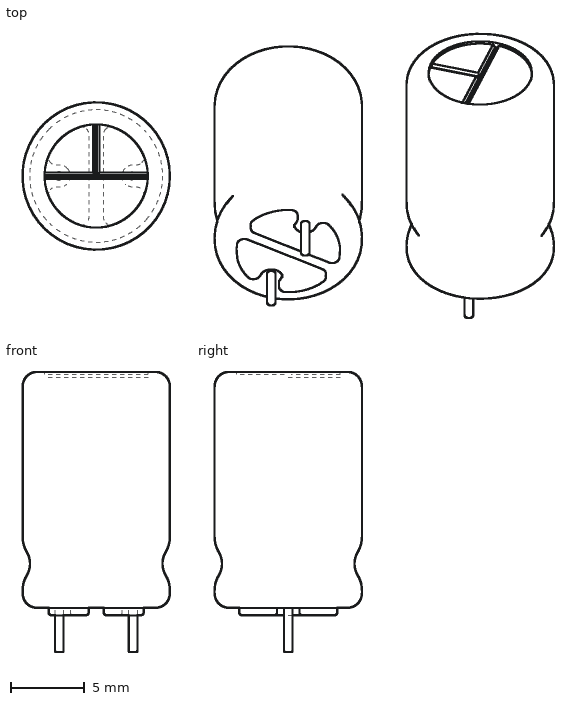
import cadquery as cq
import math


can_radius = 5.0
can_height = 16.0
can_edge_radius = 1.0

crimp_mid_z = 3.0
crimp_half_height = 1.8
crimp_waist_half_height = 0.8
crimp_depth = 0.5

recess_radius = 3.5
recess_depth = 0.2
score_top_width = 0.44
score_floor_width = 0.14
score_depth = 0.2

lead_spacing = 5.0
lead_radius = 0.3
lead_length = 3.0
lead_tip_radius = 0.1

foot_radius = 3.5
foot_height = 0.5
foot_gap = 1.0
foot_corner_radius = 0.5
foot_bottom_radius = 0.2
notch_width = 1.5


def make_can():
    """Revolve the can's half section, including the crimp groove."""
    sweep = 2 * math.atan(crimp_depth / crimp_half_height)
    shoulder_radius = (crimp_half_height - crimp_waist_half_height) / math.sin(sweep)

    neck_radius = can_radius - crimp_depth
    shoulder_end = can_radius - shoulder_radius * (1 - math.cos(sweep))
    shoulder_mid = can_radius - shoulder_radius * (1 - math.cos(sweep / 2))
    shoulder_mid_offset = crimp_half_height - shoulder_radius * math.sin(sweep / 2)
    waist_bottom_z = crimp_mid_z - crimp_waist_half_height
    waist_top_z = crimp_mid_z + crimp_waist_half_height

    section = (
        cq.Workplane("XZ")
        .lineTo(can_radius - can_edge_radius, 0)
        .radiusArc((can_radius, can_edge_radius), -can_edge_radius)
        .lineTo(can_radius, crimp_mid_z - crimp_half_height)
        .threePointArc((shoulder_mid, crimp_mid_z - shoulder_mid_offset), (shoulder_end, waist_bottom_z))
        .threePointArc((neck_radius, crimp_mid_z), (shoulder_end, waist_top_z))
        .threePointArc(
            (shoulder_mid, crimp_mid_z + shoulder_mid_offset),
            (can_radius, crimp_mid_z + crimp_half_height),
        )
        .lineTo(can_radius, can_height - can_edge_radius)
        .radiusArc((can_radius - can_edge_radius, can_height), -can_edge_radius)
        .lineTo(0, can_height)
        .close()
    )
    return section.revolve(360, (0, 0, 0), (0, 1, 0))


def score_profile(plane):
    """Trapezoid of one score groove, hanging below the recess floor."""
    floor_z = can_height - recess_depth
    return cq.Workplane(plane).polyline([
        (-score_top_width / 2, floor_z),
        (score_top_width / 2, floor_z),
        (score_floor_width / 2, floor_z - score_depth),
        (-score_floor_width / 2, floor_z - score_depth),
    ]).close()


def make_vent():
    """Volume removed from the top: round recess plus the T-shaped score."""
    recess = cq.Workplane("XY").workplane(offset=can_height - recess_depth).circle(recess_radius)
    recess = recess.extrude(recess_depth)
    bar = score_profile("YZ").extrude(recess_radius, both=True)
    stem = score_profile("XZ").extrude(-recess_radius)
    score_limit = cq.Workplane("XY").circle(recess_radius).extrude(can_height)
    return recess.union(bar.union(stem).intersect(score_limit))


def make_lead(x):
    """Round lead below the can, with a rounded tip."""
    lead = cq.Workplane("XY").center(x, 0).circle(lead_radius).extrude(-lead_length)
    return lead.faces("<Z").edges().fillet(lead_tip_radius)


def make_foot(side):
    """Half-moon foot on the -X (side = -1) or +X (side = 1) half, open outward around its lead."""
    disc = cq.Workplane("XY").circle(foot_radius).extrude(-foot_height)
    half_block = (
        cq.Workplane("XY")
        .center(side * (foot_gap / 2 + foot_radius), 0)
        .rect(2 * foot_radius, 2 * foot_radius)
        .extrude(-foot_height)
    )
    half_moon = disc.intersect(half_block).edges("|Z").fillet(foot_corner_radius)

    lead_x = side * lead_spacing / 2
    notch_end = cq.Workplane("XY").center(lead_x, 0).circle(notch_width / 2).extrude(-foot_height)
    notch_mouth = (
        cq.Workplane("XY")
        .center(lead_x + side * foot_radius / 2, 0)
        .rect(foot_radius, notch_width)
        .extrude(-foot_height)
    )
    foot = half_moon.cut(notch_end.union(notch_mouth))

    mouth_y = notch_width / 2
    mouth_x = side * math.sqrt(foot_radius**2 - mouth_y**2)
    for corner_y in (-mouth_y, mouth_y):
        corner = cq.selectors.NearestToPointSelector((mouth_x, corner_y, -foot_height / 2))
        foot = foot.edges("|Z").edges(corner).fillet(foot_corner_radius)

    return foot.faces("<Z").edges().fillet(foot_bottom_radius)


result = make_can().cut(make_vent())
for side in (-1, 1):
    result = result.union(make_lead(side * lead_spacing / 2))
    result = result.union(make_foot(side))